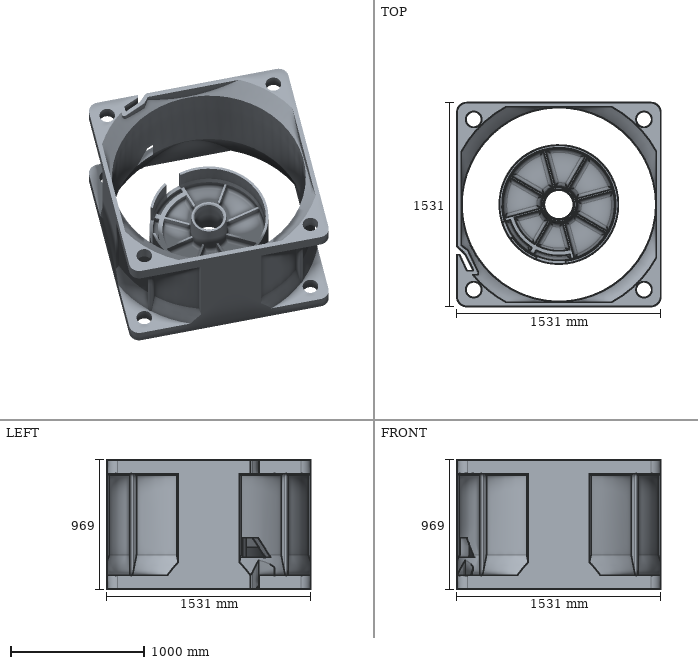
import cadquery as cq
import math

overlap = 15.0
arc_inset = 1 - math.sqrt(0.5)

side = 1531.0
half = side / 2
height = 969.0
flange = 103.0
corner_radius = 77.0
hole_offset = 638.0
hole_radius = 58.0

bore_radius = 727.0
flat_offset = 732.0
inlet_radius = 833.0
inlet_depth = 105.0
outlet_radius = 804.0
flare_height = 257.0

shell_radius = 784.0
shell_foot_radius = 827.0
shell_lip_height = 14.0
pocket_edge = 230.0
pocket_edge_radius = math.hypot(half, pocket_edge)
pocket_wall_run = 12.0
pocket_wall_depth = 20.0
pocket_wall_length = 2.0
rib_half_width = 17.0
rib_tip_radius = 830.0
rib_nose_fillet = 10.0

slot_outline = [
    (-half - overlap, -310.0), (-half, -310.0), (-755.0, -325.0), (-718.0, -358.0), (-701.0, -375.0), (-643.0, -491.0),
    (-649.0, -496.0), (-689.0, -496.0), (-744.0, -377.0), (-half - overlap, -374.0),
]
slot_wall_outline = [
    (-750.0, -292.0), (-683.0, -343.0), (-603.0, -510.0), (-608.0, -528.0), (-666.0, -528.0), (-750.0, -460.0),
]

window_bottom = 237.0
window_top = 385.0
window_across = (0.71, -0.7, 0)
window_normal = (-0.7, -0.71, 0)
window_edge_top = -233.0
window_edge_bottom = -127.0
window_reach = 460.0
window_plan = [(-796.0, -234.0), (-582.0, -314.0), (-582.0, -612.0), (-796.0, -612.0)]

hub_radius = 447.0
hub_height = 314.0
cup_radius = 427.0
cup_foot_radius = 420.0
cup_step_z = 175.0
ledge_z = 138.0
floor_fillet = 26.0
floor_z = 77.0
bearing_radius = 109.0
bearing_chamfer = 8.0
boss_top_radius = 130.0
boss_foot_radius = 141.0
spoke_count = 8
spoke_start_angle = 15.0
spoke_top_half_width = 8.0
spoke_foot_half_width = 12.0
ledge_inner_radius = 348.0
ledge_fillet = 21.0
ledge_angles = (195.0, 285.0)
groove_inner_radius = 383.0
groove_angles = [(197.5, 238.0), (243.5, 282.5)]
notch_angles = [(197.2, 215.4), (246.8, 276.8)]


def revolved(points):
    """Solid of revolution about Z from a (radius, z) outline."""
    return cq.Workplane("XZ").polyline(points).close().revolve(360, (0, 0), (0, 1))


def prism(points, z_low, z_high):
    """Vertical prism over a plan outline."""
    return cq.Workplane("XY", origin=(0, 0, z_low)).polyline(points).close().extrude(z_high - z_low)


def ring_sector(inner, outer, z_low, z_high, angles):
    """Part of a flat ring between two angles in degrees."""
    start, end = angles
    profile = cq.Workplane("XZ").moveTo(inner, z_low).lineTo(outer, z_low)
    profile = profile.lineTo(outer, z_high).lineTo(inner, z_high).close()
    return profile.revolve(end - start, (0, 0), (0, -1)).rotate((0, 0, 0), (0, 0, 1), end)


def make_shell():
    """Round outer wall between the flanges, with its foot cone and top lip."""
    lip_z = height - flange
    return revolved([
        (0, flange), (shell_foot_radius, flange), (shell_radius, flare_height),
        (shell_radius, lip_z - shell_lip_height), (pocket_edge_radius, lip_z), (0, lip_z),
    ])


def make_corner_rib():
    """Vertical rib with a rounded nose along +X, before it is turned to a corner."""
    rib_length = rib_tip_radius - (bore_radius + overlap)
    rib_height = height - 2 * flange
    rib = cq.Workplane("XY").box(rib_length, 2 * rib_half_width, rib_height, centered=(False, True, False))
    rib = rib.edges("|Z and >X").fillet(rib_nose_fillet)
    return rib.translate((bore_radius + overlap, 0, flange))


def make_corner_pocket(shell):
    """Space cut away at the (+X, +Y) corner, leaving the shell and one rib."""
    mouth_x = pocket_edge - pocket_wall_run
    mouth_y = half + pocket_wall_depth
    deep_x = pocket_edge + pocket_wall_length * pocket_wall_run
    deep_y = half - pocket_wall_length * pocket_wall_depth
    plan = [
        (mouth_x, mouth_y), (deep_x, deep_y), (deep_y, deep_x),
        (mouth_y, mouth_x), (mouth_y, mouth_y),
    ]
    pocket = prism(plan, flange, height - flange).cut(shell)
    return pocket.cut(make_corner_rib().rotate((0, 0, 0), (0, 0, 1), 45))


def make_duct():
    """Air passage: bore and both flares, trimmed by the flat walls."""
    passage = revolved([
        (0, 0), (outlet_radius, 0), (bore_radius, flare_height),
        (bore_radius, height - inlet_depth), (inlet_radius, height), (0, height),
    ])
    return passage.intersect(cq.Workplane("XY").rect(2 * flat_offset, 2 * flat_offset).extrude(height))


def make_window():
    """Cable window with one slanted wall, cut through the shell."""
    plane = cq.Plane(origin=(0, 0, 0), xDir=window_across, normal=window_normal)
    slanted = cq.Workplane(plane).polyline([
        (window_edge_bottom - window_reach, window_bottom), (window_edge_bottom, window_bottom),
        (window_edge_top, window_top), (window_edge_top - window_reach, window_top),
    ]).close().extrude(side, both=True)
    return slanted.intersect(prism(window_plan, window_bottom, window_top))


def make_frame():
    """Flanged frame with pockets, duct, screw holes and cable openings."""
    frame = cq.Workplane("XY").rect(side, side).extrude(height).edges("|Z").fillet(corner_radius)
    pocket = make_corner_pocket(make_shell())
    for quarter in range(4):
        frame = frame.cut(pocket.rotate((0, 0, 0), (0, 0, 1), 90 * quarter))
    slot_wall = prism(slot_wall_outline, height - flange, height)
    frame = frame.cut(make_duct().cut(slot_wall))
    frame = frame.cut(cq.Workplane("XY").circle(bore_radius).extrude(height))
    holes = cq.Workplane("XY").rect(2 * hole_offset, 2 * hole_offset, forConstruction=True).vertices()
    frame = frame.cut(holes.circle(hole_radius).extrude(height))
    frame = frame.cut(prism(slot_outline, 0, height))
    return frame.cut(make_window())


def make_cup():
    """Hub wall, floor and central boss with rounded inside corners."""
    bend = floor_fillet * arc_inset
    fillet_z = floor_z + floor_fillet
    boss_bend = (boss_foot_radius + bend, floor_z + bend)
    wall_bend = (cup_foot_radius - bend, floor_z + bend)
    profile = cq.Workplane("XZ").moveTo(bearing_radius, 0).lineTo(hub_radius, 0)
    profile = profile.lineTo(hub_radius, hub_height).lineTo(cup_radius, hub_height)
    profile = profile.lineTo(cup_radius, cup_step_z).lineTo(cup_foot_radius, ledge_z)
    profile = profile.lineTo(cup_foot_radius, fillet_z)
    profile = profile.threePointArc(wall_bend, (cup_foot_radius - floor_fillet, floor_z))
    profile = profile.lineTo(boss_foot_radius + floor_fillet, floor_z)
    profile = profile.threePointArc(boss_bend, (boss_foot_radius, fillet_z))
    profile = profile.lineTo(boss_top_radius, hub_height)
    profile = profile.lineTo(bearing_radius + bearing_chamfer, hub_height)
    profile = profile.lineTo(bearing_radius, hub_height - bearing_chamfer).close()
    return profile.revolve(360, (0, 0), (0, 1))


def make_spoke():
    """Floor rib along +X with flared sides, running from boss to wall."""
    foot = spoke_foot_half_width + floor_fillet
    fillet_z = floor_z + floor_fillet
    bend = floor_fillet * arc_inset
    bend_y = spoke_foot_half_width + bend
    bend_z = floor_z + bend
    sunk_z = floor_z - overlap
    start = (boss_top_radius + bearing_radius) / 2
    end = (hub_radius + cup_radius) / 2
    spoke = cq.Workplane("YZ", origin=(start, 0, 0)).moveTo(-foot, sunk_z).lineTo(foot, sunk_z)
    spoke = spoke.lineTo(foot, floor_z).threePointArc((bend_y, bend_z), (spoke_foot_half_width, fillet_z))
    spoke = spoke.lineTo(spoke_top_half_width, ledge_z).lineTo(-spoke_top_half_width, ledge_z)
    spoke = spoke.lineTo(-spoke_foot_half_width, fillet_z)
    spoke = spoke.threePointArc((-bend_y, bend_z), (-foot, floor_z)).close()
    return spoke.extrude(end - start)


def make_ledge():
    """Raised arc beside the wall, with a rounded inner foot and two grooves."""
    start, end = ledge_angles
    bend = ledge_fillet * arc_inset
    foot = ledge_inner_radius - ledge_fillet
    outer = (hub_radius + cup_radius) / 2
    profile = cq.Workplane("XZ").moveTo(foot, floor_z - overlap).lineTo(outer, floor_z - overlap)
    profile = profile.lineTo(outer, ledge_z).lineTo(ledge_inner_radius, ledge_z)
    profile = profile.lineTo(ledge_inner_radius, floor_z + ledge_fillet)
    profile = profile.threePointArc((ledge_inner_radius - bend, floor_z + bend), (foot, floor_z)).close()
    ledge = profile.revolve(end - start, (0, 0), (0, -1)).rotate((0, 0, 0), (0, 0, 1), end)
    for angles in groove_angles:
        ledge = ledge.cut(ring_sector(groove_inner_radius, cup_foot_radius, floor_z, ledge_z, angles))
    return ledge


def make_hub():
    """Cup with a notched rim, spokes and a grooved ledge."""
    hub = make_cup()
    spoke = make_spoke()
    for angles in notch_angles:
        hub = hub.cut(ring_sector(groove_inner_radius, hub_radius + overlap, ledge_z, hub_height, angles))
    for index in range(spoke_count):
        angle = spoke_start_angle + index * 360 / spoke_count
        hub = hub.union(spoke.rotate((0, 0, 0), (0, 0, 1), angle))
    return hub.union(make_ledge())


frame = make_frame()
hub = make_hub()

result = cq.Compound.makeCompound([frame.solids().val(), hub.solids().val()])